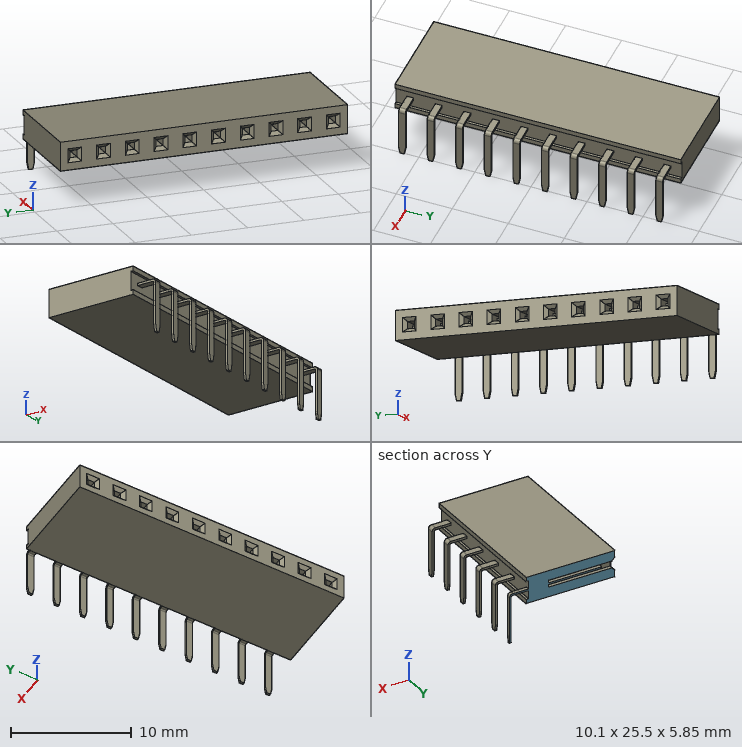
import cadquery as cq

pin_count = 10
pitch = 2.55
housing_depth = 8.53
housing_height = 2.55
housing_length = pin_count * pitch

groove_depth = 0.23
groove_height = 1.68

socket_mouth = 1.22
socket_throat = 0.6
funnel_depth = (socket_mouth - socket_throat) / 2
socket_depth = 6.35

overall_depth = 10.13
overall_height = 5.85
pin_thickness = 0.2
pin_width = 0.6
bend_outer_radius = 0.3
bend_inner_radius = bend_outer_radius - pin_thickness
contact_start = 1.27
tip_length = 0.6
tip_width = 0.35

mid_height = housing_height / 2
pin_bottom = housing_height - overall_height
pin_positions = [(i - (pin_count - 1) / 2) * pitch for i in range(pin_count)]


def make_housing():
    """Rectangular bar with a full-length groove in its rear face."""
    bar = cq.Workplane("XY").box(
        housing_depth, housing_length, housing_height, centered=(False, True, False)
    )
    groove = (
        cq.Workplane("XY")
        .box(groove_depth, housing_length, groove_height, centered=(False, True, True))
        .translate((housing_depth - groove_depth, 0, mid_height))
    )
    return bar.cut(groove)


def make_socket(y):
    """Square socket with a tapered mouth, as a cutting solid."""
    funnel = (
        cq.Workplane("YZ", origin=(0, y, mid_height))
        .rect(socket_mouth, socket_mouth)
        .workplane(offset=funnel_depth)
        .rect(socket_throat, socket_throat)
        .loft(ruled=True)
    )
    throat = (
        cq.Workplane("YZ", origin=(funnel_depth, y, mid_height))
        .rect(socket_throat, socket_throat)
        .extrude(socket_depth - funnel_depth)
    )
    return funnel.union(throat)


def make_pin(y):
    """Strip running back from the socket, bent down into a tapered tail."""
    strip_top = mid_height + pin_thickness / 2
    strip_bottom = strip_top - pin_thickness
    tail_inside = overall_depth - pin_thickness
    strip = (
        cq.Workplane("XZ", origin=(0, y + pin_width / 2, 0))
        .moveTo(contact_start, strip_top)
        .lineTo(overall_depth - bend_outer_radius, strip_top)
        .radiusArc((overall_depth, strip_top - bend_outer_radius), bend_outer_radius)
        .lineTo(overall_depth, pin_bottom)
        .lineTo(tail_inside, pin_bottom)
        .lineTo(tail_inside, strip_bottom - bend_inner_radius)
        .radiusArc((tail_inside - bend_inner_radius, strip_bottom), -bend_inner_radius)
        .lineTo(contact_start, strip_bottom)
        .close()
        .extrude(pin_width)
    )
    for side in (-1, 1):
        edge = y + side * pin_width / 2
        tip_edge = y + side * tip_width / 2
        wedge = (
            cq.Workplane("YZ", origin=(tail_inside, 0, 0))
            .polyline([(edge, pin_bottom + tip_length), (edge, pin_bottom), (tip_edge, pin_bottom)])
            .close()
            .extrude(pin_thickness)
        )
        strip = strip.cut(wedge)
    return strip


result = make_housing()
for pin_y in pin_positions:
    result = result.cut(make_socket(pin_y)).union(make_pin(pin_y))